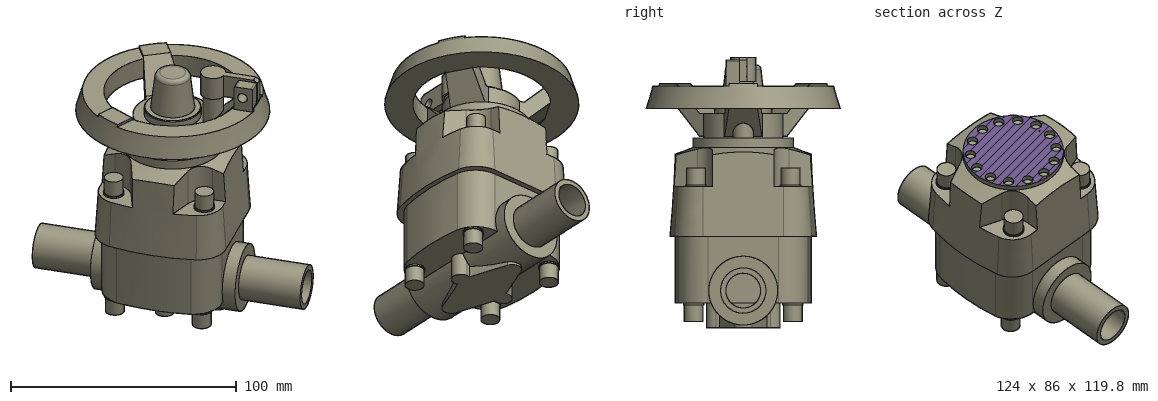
import cadquery as cq
import math


pipe_length = 124.0
pipe_radius = 10.0
bore_radius = 7.7
bore_floor_x = 24.8
flange_half_length = 33.5
flange_radius = 15.3

body_bottom = -5.6
body_top = 24.0
body_half_x = 27.5
body_half_y = 30.1
body_side_half_y = 15.6
body_bulge_end = (17.2, 28.6)
bonnet_half_x = 30.0
bonnet_half_y = 32.5
bonnet_side_half_y = 17.7
bonnet_bulge_end = (20.1, 30.4)
bonnet_taper = 3.7
bonnet_height = 39.7
disc_bottom = 63.4
roof_slope = 20.5

pocket_floor = 46.0
pocket_side_y = 13.6
pocket_center_x = 22.6
pocket_radius = 10.0
pocket_wall_angle = 20.0
outside_reach = 49.6

bolt_radius = 4.2
bolt_length = 8.2
bolt_rim_radius = 4.6
bolt_rim_height = 0.7
top_bolt_x = 21.0
top_bolt_y = 21.0
bottom_bolt_x = 20.1
bottom_bolt_y = 22.0

foot_bottom = -16.5
foot_boss_radius = 4.2
foot_boss_x = 20.8
foot_boss_y = 12.2
foot_shoulder_y = 10.5

disc_radius = 22.3
disc_top = 67.6
index_hole_count = 14
index_hole_radius = 2.2
index_circle_radius = 19.1

hub_radius = 17.6
hub_top = 78.5
hub_ring_radius = 12.6
hub_ring_height = 3.8
hub_ring_chamfer = 0.4
rim_bottom = 80.6
rim_top = 90.5
rim_inner_radius = 30.5
rim_bottom_radius = 43.0
rim_top_radius = 40.0
spoke_count = 3
spoke_bottom = 68.3
spoke_start_half_width = 10.0
spoke_tip_half_width = 6.2
spoke_step = 1.1
spoke_start = 6.2

cap_top = 100.0
cap_base_radius = 9.8
cap_top_radius = 7.7
cap_fillet = 2.2

pin_x = 18.7
pin_radius = 4.6
knob_radius = 5.6
knob_bottom = 92.5
knob_top = 103.3
lever_half_thickness = 1.6
lever_end_x = 39.8
lever_chamfer_length = 2.0
lever_chamfer_height = 1.2
lug_start_x = 30.6
lug_end_x = 39.2
lug_front_y = -7.6
lug_top = 102.2
lug_fillet = 0.7
lock_hole_x = 34.6
lock_hole_z = 97.0
lock_hole_radius = 2.2


def rod(x, y, radius, bottom, top):
    """Upright cylinder between two heights."""
    return cq.Workplane("XY", origin=(x, y, bottom)).circle(radius).extrude(top - bottom)


def x_cylinder(radius, start, end):
    """Cylinder on the pipe axis."""
    return cq.Workplane("YZ", origin=(start, 0, 0)).circle(radius).extrude(end - start)


def revolve_profile(points):
    """Solid of revolution about Z from (radius, height) points."""
    return cq.Workplane("XZ").polyline(points).close().revolve(360, (0, 0, 0), (0, 1, 0))


def bulged_outline(half_x, half_y, side_half_y, bulge_end, bottom):
    """Outline with straight sides at +-X, shallow arcs at +-Y and round corners tangent to the sides."""
    end_x, end_y = bulge_end
    inset = half_x - end_x
    rise = end_y - side_half_y
    radius = (inset**2 + rise**2) / (2 * inset)
    half_sweep = math.asin(rise / radius) / 2
    middle_x = half_x - radius * (1 - math.cos(half_sweep))
    middle_y = side_half_y + radius * math.sin(half_sweep)
    return (
        cq.Workplane("XY", origin=(0, 0, bottom))
        .moveTo(half_x, -side_half_y)
        .lineTo(half_x, side_half_y)
        .threePointArc((middle_x, middle_y), (end_x, end_y))
        .threePointArc((0, half_y), (-end_x, end_y))
        .threePointArc((-middle_x, middle_y), (-half_x, side_half_y))
        .lineTo(-half_x, -side_half_y)
        .threePointArc((-middle_x, -middle_y), (-end_x, -end_y))
        .threePointArc((0, -half_y), (end_x, -end_y))
        .threePointArc((middle_x, -middle_y), (half_x, -side_half_y))
        .close()
    )


def make_pipe():
    pipe = x_cylinder(pipe_radius, -pipe_length / 2, pipe_length / 2)
    return pipe.union(x_cylinder(flange_radius, -flange_half_length, flange_half_length))


def make_bores():
    left_bore = x_cylinder(bore_radius, -pipe_length / 2, -bore_floor_x)
    return left_bore.union(left_bore.mirror("YZ"))


def make_body():
    outline = bulged_outline(body_half_x, body_half_y, body_side_half_y, body_bulge_end, body_bottom)
    return outline.extrude(body_top - body_bottom)


def make_corner_pocket():
    """Pocket for the bolt at +X +Y: a round corner between a side wall and a slanted wall."""
    center_y = pocket_side_y + pocket_radius
    angle = math.radians(pocket_wall_angle)

    def on_corner(direction):
        return (
            pocket_center_x + pocket_radius * math.cos(direction),
            center_y + pocket_radius * math.sin(direction),
        )

    wall_direction = math.pi + angle
    wall_start = on_corner(wall_direction)
    arc_middle = on_corner((wall_direction + 1.5 * math.pi) / 2)
    wall_end_x = wall_start[0] - (outside_reach - wall_start[1]) * math.tan(angle)
    return (
        cq.Workplane("XY", origin=(0, 0, pocket_floor))
        .moveTo(outside_reach, pocket_side_y)
        .lineTo(pocket_center_x, pocket_side_y)
        .threePointArc(arc_middle, wall_start)
        .lineTo(wall_end_x, outside_reach)
        .lineTo(outside_reach, outside_reach)
        .close()
        .extrude(disc_bottom - pocket_floor)
    )


def make_bonnet():
    outline = bulged_outline(bonnet_half_x, bonnet_half_y, bonnet_side_half_y, bonnet_bulge_end, body_top)
    bonnet = outline.extrude(bonnet_height, taper=bonnet_taper)

    roof_run = outside_reach - disc_radius
    roof_edge = disc_bottom - roof_run * math.tan(math.radians(roof_slope))
    roof = revolve_profile([
        (0, body_top),
        (outside_reach, body_top),
        (outside_reach, roof_edge),
        (disc_radius, disc_bottom),
        (0, disc_bottom),
    ])
    bonnet = bonnet.intersect(roof)

    pocket = make_corner_pocket()
    pocket_pair = pocket.union(pocket.mirror("YZ"))
    return bonnet.cut(pocket_pair).cut(pocket_pair.mirror("XZ"))


def make_bolts():
    bolts = cq.Workplane("XY")
    top_end = pocket_floor + bolt_length
    top_rim_end = pocket_floor + bolt_rim_height
    bottom_end = body_bottom - bolt_length
    bottom_rim_end = body_bottom - bolt_rim_height
    for x in (-1, 1):
        for y in (-1, 1):
            top_place = (x * top_bolt_x, y * top_bolt_y)
            bolts = bolts.union(rod(*top_place, bolt_radius, pocket_floor, top_end))
            bolts = bolts.union(rod(*top_place, bolt_rim_radius, pocket_floor, top_rim_end))
            bottom_place = (x * bottom_bolt_x, y * bottom_bolt_y)
            bolts = bolts.union(rod(*bottom_place, bolt_radius, bottom_end, body_bottom))
            bolts = bolts.union(rod(*bottom_place, bolt_rim_radius, bottom_rim_end, body_bottom))
    return bolts


def make_foot():
    """Diamond web with a boss at each end of its two axes."""
    run = foot_boss_x - foot_boss_radius
    distance = math.hypot(run, foot_shoulder_y)
    tangent_angle = math.atan2(foot_shoulder_y, -run) - math.acos(foot_boss_radius / distance)
    tangent_x = foot_boss_x + foot_boss_radius * math.cos(tangent_angle)
    tangent_y = foot_boss_radius * math.sin(tangent_angle)
    upper_half = [
        (tangent_x, tangent_y),
        (foot_boss_radius, foot_shoulder_y),
        (foot_boss_radius, foot_boss_y),
        (-foot_boss_radius, foot_boss_y),
        (-foot_boss_radius, foot_shoulder_y),
        (-tangent_x, tangent_y),
    ]
    outline = upper_half + [(-x, -y) for x, y in upper_half]
    height = body_bottom - foot_bottom
    foot = cq.Workplane("XY", origin=(0, 0, foot_bottom)).polyline(outline).close().extrude(height)
    for side in (-1, 1):
        foot = foot.union(rod(side * foot_boss_x, 0, foot_boss_radius, foot_bottom, body_bottom))
        foot = foot.union(rod(0, side * foot_boss_y, foot_boss_radius, foot_bottom, body_bottom))
    return foot


def make_index_disc():
    holes = (
        cq.Workplane("XY", origin=(0, 0, disc_bottom))
        .polarArray(index_circle_radius, 0, 360, index_hole_count)
        .circle(index_hole_radius)
        .extrude(disc_top - disc_bottom)
    )
    return rod(0, 0, disc_radius, disc_bottom, disc_top).cut(holes)


def make_spoke():
    """Spoke along +X: rises at an angle from the hub and lies on the rim as a raised strip."""
    step_top = rim_top + spoke_step
    rise = (step_top - hub_top) / (rim_inner_radius - hub_radius)
    under_end = hub_radius + (rim_bottom - spoke_bottom) / rise
    side_view = (
        cq.Workplane("XZ")
        .polyline([
            (spoke_start, spoke_bottom),
            (hub_radius, spoke_bottom),
            (under_end, rim_bottom),
            (rim_bottom_radius, rim_bottom),
            (rim_bottom_radius, step_top),
            (rim_inner_radius, step_top),
            (hub_radius, hub_top),
            (spoke_start, hub_top),
        ])
        .close()
        .extrude(spoke_start_half_width, both=True)
    )
    half_plan = [
        (spoke_start, spoke_start_half_width),
        (rim_inner_radius, spoke_tip_half_width),
        (rim_bottom_radius, spoke_tip_half_width),
    ]
    plan = half_plan + [(x, -y) for x, y in reversed(half_plan)]
    plan_view = (
        cq.Workplane("XY", origin=(0, 0, spoke_bottom))
        .polyline(plan)
        .close()
        .extrude(step_top - spoke_bottom)
    )
    cone_run = (rim_bottom_radius - rim_top_radius) / (rim_top - rim_bottom)
    envelope = revolve_profile([
        (0, spoke_bottom),
        (rim_bottom_radius, spoke_bottom),
        (rim_bottom_radius, rim_bottom),
        (rim_top_radius - cone_run * spoke_step, step_top),
        (0, step_top),
    ])
    return side_view.intersect(plan_view).intersect(envelope)


def make_handwheel():
    wheel = revolve_profile([
        (rim_inner_radius, rim_bottom),
        (rim_bottom_radius, rim_bottom),
        (rim_top_radius, rim_top),
        (rim_inner_radius, rim_top),
    ])
    spoke = make_spoke()
    for index in range(spoke_count):
        wheel = wheel.union(spoke.rotate((0, 0, 0), (0, 0, 1), index * 360 / spoke_count))
    wheel = wheel.union(rod(0, 0, hub_radius, disc_top, hub_top))
    ring = rod(0, 0, hub_ring_radius, hub_top, hub_top + hub_ring_height)
    return wheel.union(ring.faces(">Z").edges().chamfer(hub_ring_chamfer))


def make_spindle_cap():
    cap = revolve_profile([
        (0, hub_top),
        (cap_base_radius, hub_top),
        (cap_base_radius, hub_top + hub_ring_height),
        (cap_top_radius, cap_top),
        (0, cap_top),
    ])
    return cap.faces(">Z").edges().fillet(cap_fillet)


def make_lock():
    lock = rod(pin_x, 0, pin_radius, disc_top, knob_bottom)
    lock = lock.union(rod(pin_x, 0, knob_radius, knob_bottom, knob_top))
    lever = (
        cq.Workplane("XZ")
        .polyline([
            (pin_x, knob_bottom),
            (lever_end_x, knob_bottom),
            (lever_end_x, knob_top - lever_chamfer_height),
            (lever_end_x - lever_chamfer_length, knob_top),
            (pin_x, knob_top),
        ])
        .close()
        .extrude(lever_half_thickness, both=True)
    )
    lug = (
        cq.Workplane("XY", origin=(lug_start_x, lug_front_y, rim_top))
        .box(lug_end_x - lug_start_x, -lever_half_thickness - lug_front_y, lug_top - rim_top, centered=False)
        .edges("|Y and >Z")
        .fillet(lug_fillet)
    )
    lock_hole = (
        cq.Workplane("XZ", origin=(lock_hole_x, 0, lock_hole_z))
        .circle(lock_hole_radius)
        .extrude(-lug_front_y, both=True)
    )
    return lock.union(lever).union(lug).cut(lock_hole)


result = make_pipe().union(make_foot()).cut(make_bores())
for piece in (
    make_body(),
    make_bonnet(),
    make_bolts(),
    make_index_disc(),
    make_handwheel(),
    make_spindle_cap(),
    make_lock(),
):
    result = result.union(piece)